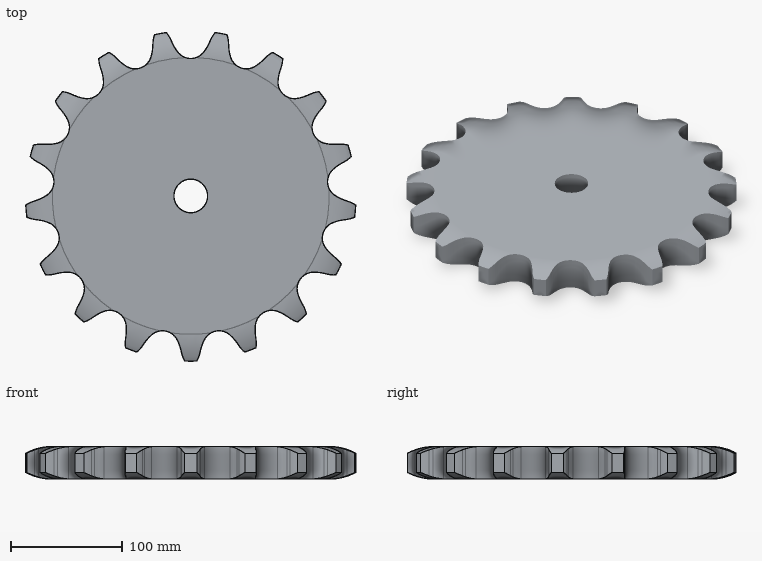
import cadquery as cq
import math

TOOTH_COUNT = 17
CHAIN_PITCH = 50.8
ROLLER_DIAMETER = 29.21
PLATE_THICKNESS = 29.4
BORE_DIAMETER = 30.0
TIP_DIAMETER = 296.89
SIDE_RELIEF_RADIUS = CHAIN_PITCH
SIDE_RELIEF_DEPTH = 0.12 * CHAIN_PITCH
SEATING_CLEARANCE = 0.0762

TOOTH_ANGLE = 360.0 / TOOTH_COUNT
HALF_TOOTH_ANGLE = math.radians(TOOTH_ANGLE / 2)
PITCH_RADIUS = CHAIN_PITCH / 2 / math.sin(HALF_TOOTH_ANGLE)
TIP_RADIUS = TIP_DIAMETER / 2
HALF_THICKNESS = PLATE_THICKNESS / 2
FIRST_GAP_ANGLE = 90.0

SEATING_RADIUS = (1.005 * ROLLER_DIAMETER + SEATING_CLEARANCE) / 2
WORKING_RADIUS = 1.3025 * ROLLER_DIAMETER + SEATING_CLEARANCE / 2
WORKING_CENTER_OFFSET = 0.8 * ROLLER_DIAMETER
TOPPING_CENTER_OFFSET = 1.4 * ROLLER_DIAMETER
SEATING_ANGLE = math.radians(35 + 60 / TOOTH_COUNT)
WORKING_ANGLE = math.radians(18 - 56 / TOOTH_COUNT)
FLAT_ANGLE = math.radians(17 - 64 / TOOTH_COUNT)
FLAT_LENGTH = (
    TOPPING_CENTER_OFFSET * math.sin(FLAT_ANGLE)
    - WORKING_CENTER_OFFSET * math.sin(WORKING_ANGLE)
)
TOPPING_RADIUS = (
    WORKING_CENTER_OFFSET * math.cos(WORKING_ANGLE)
    + TOPPING_CENTER_OFFSET * math.cos(FLAT_ANGLE)
    - WORKING_RADIUS
)


def on_circle(center, radius, angle):
    """Point on a circle at an angle in radians from +X."""
    return (center[0] + radius * math.cos(angle), center[1] + radius * math.sin(angle))


def mirrored(point):
    """Reflect a point across the gap centreline (the Y axis)."""
    return (-point[0], point[1])


def make_gap_cutter():
    """Prism filling the tooth gap that is centred on +Y."""
    roller_center = (0, PITCH_RADIUS)

    seat_end_angle = -SEATING_ANGLE
    root = on_circle(roller_center, SEATING_RADIUS, -math.pi / 2)
    seat_end = on_circle(roller_center, SEATING_RADIUS, seat_end_angle)

    working_center = on_circle(roller_center, -WORKING_CENTER_OFFSET, seat_end_angle)
    flat_normal = seat_end_angle + WORKING_ANGLE
    working_mid = on_circle(working_center, WORKING_RADIUS, seat_end_angle + WORKING_ANGLE / 2)
    flat_start = on_circle(working_center, WORKING_RADIUS, flat_normal)
    flat_end = on_circle(flat_start, FLAT_LENGTH, flat_normal + math.pi / 2)

    topping_center = on_circle(flat_end, TOPPING_RADIUS, flat_normal)
    center_distance = math.hypot(*topping_center)
    center_angle = math.atan2(topping_center[1], topping_center[0])
    tip_swing = math.acos(
        (TIP_RADIUS**2 + center_distance**2 - TOPPING_RADIUS**2) / (2 * TIP_RADIUS * center_distance)
    )
    tip = on_circle((0, 0), TIP_RADIUS, center_angle + tip_swing)
    tip_normal = math.atan2(tip[1] - topping_center[1], tip[0] - topping_center[0])
    arc_start_normal = flat_normal + math.pi
    topping_mid = on_circle(
        topping_center, TOPPING_RADIUS, (arc_start_normal + tip_normal) / 2
    )
    outside = (tip[0], TIP_RADIUS + ROLLER_DIAMETER)

    return (
        cq.Workplane("XY")
        .workplane(offset=-HALF_THICKNESS)
        .moveTo(*mirrored(seat_end))
        .threePointArc(root, seat_end)
        .threePointArc(working_mid, flat_start)
        .lineTo(*flat_end)
        .threePointArc(topping_mid, tip)
        .lineTo(*outside)
        .lineTo(*mirrored(outside))
        .lineTo(*mirrored(tip))
        .threePointArc(mirrored(topping_mid), mirrored(flat_end))
        .lineTo(*mirrored(flat_start))
        .threePointArc(mirrored(working_mid), mirrored(seat_end))
        .close()
        .extrude(PLATE_THICKNESS)
    )


def make_blank():
    """Turned disc with the bore and with both sides rounded towards the rim."""
    relief_center_z = HALF_THICKNESS - SIDE_RELIEF_RADIUS
    rim_z = HALF_THICKNESS - SIDE_RELIEF_DEPTH
    relief_sweep = math.acos(1 - SIDE_RELIEF_DEPTH / SIDE_RELIEF_RADIUS)
    face_radius = TIP_RADIUS - SIDE_RELIEF_RADIUS * math.sin(relief_sweep)
    relief_mid = on_circle(
        (face_radius, relief_center_z), SIDE_RELIEF_RADIUS, math.pi / 2 - relief_sweep / 2
    )
    bore_radius = BORE_DIAMETER / 2

    return (
        cq.Workplane("XZ")
        .moveTo(bore_radius, -HALF_THICKNESS)
        .lineTo(face_radius, -HALF_THICKNESS)
        .threePointArc((relief_mid[0], -relief_mid[1]), (TIP_RADIUS, -rim_z))
        .lineTo(TIP_RADIUS, rim_z)
        .threePointArc(relief_mid, (face_radius, HALF_THICKNESS))
        .lineTo(bore_radius, HALF_THICKNESS)
        .close()
        .revolve(360, (0, 0, 0), (0, 1, 0))
    )


def cut_teeth(blank):
    """Cut one gap between each pair of neighbouring teeth."""
    gap_cutter = make_gap_cutter()
    toothed = blank
    for index in range(TOOTH_COUNT):
        toothed = toothed.cut(gap_cutter.rotate((0, 0, 0), (0, 0, 1), index * TOOTH_ANGLE))
    return toothed


result = cut_teeth(make_blank())